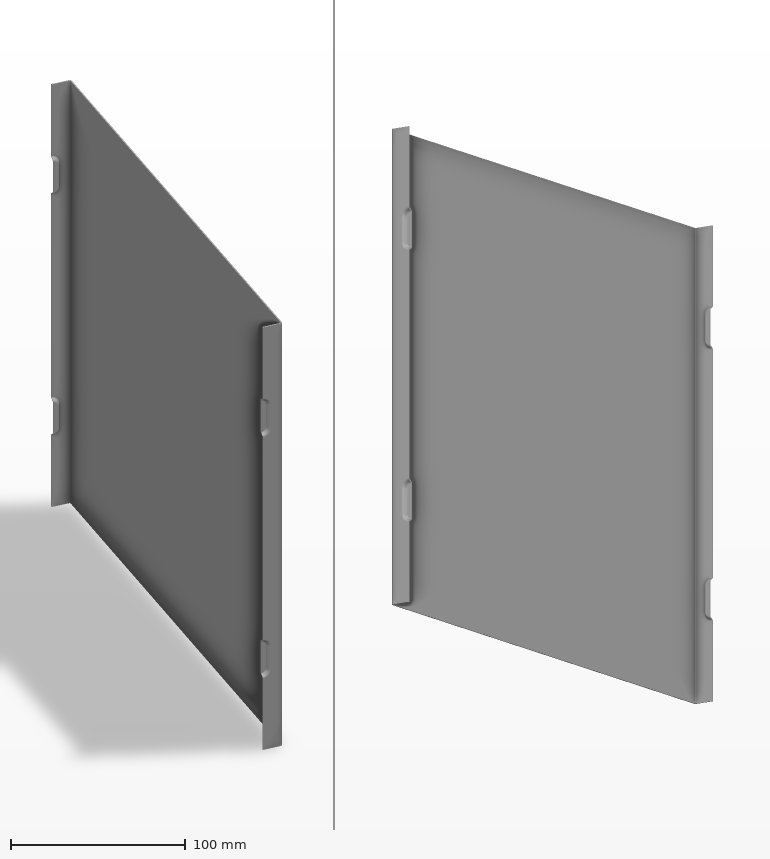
import cadquery as cq
import math

WIDTH = 302.8
DEPTH = 12.5
HEIGHT = 280.0

SHEET = 0.8
BEND_INNER = SHEET
BEND_OUTER = BEND_INNER + SHEET

DIMPLE_LENGTH = 25.7
DIMPLE_REACH = 5.0
DIMPLE_OFFSET = 2.5
DIMPLE_BEND_INNER = 0.5
DIMPLE_BEND_OUTER = DIMPLE_BEND_INNER + SHEET
DIMPLE_WALL_ANGLE = math.radians(60)
DIMPLE_STRAIGHT = DIMPLE_LENGTH - 2 * DIMPLE_REACH
DIMPLE_SPACING = 160.0

EDGE = -DEPTH / 2
OUTER_FACE = -WIDTH / 2


def make_tray():
    """Back panel with a flange bent forward along each side, as a channel along Z."""
    outer = (
        cq.Workplane("XY")
        .box(WIDTH, DEPTH, HEIGHT)
        .edges("|Z and >Y")
        .fillet(BEND_OUTER)
    )
    inner = (
        cq.Workplane("XY")
        .box(WIDTH - 2 * SHEET, DEPTH, HEIGHT)
        .edges("|Z and >Y")
        .fillet(BEND_INNER)
        .translate((0, -SHEET, 0))
    )
    return outer.cut(inner)


def dimple_section():
    """Cross-section of the left flange through a dimple: an S-bend, then a flat lip at the free edge."""
    angle = DIMPLE_WALL_ANGLE
    radius_sum = DIMPLE_BEND_OUTER + DIMPLE_BEND_INNER
    wall_length = (DIMPLE_OFFSET - radius_sum * (1 - math.cos(angle))) / math.sin(angle)
    ramp = radius_sum * math.sin(angle) + wall_length * math.cos(angle)

    start_y = EDGE + DIMPLE_REACH
    lip_y = start_y - ramp
    lip_outer = OUTER_FACE + DIMPLE_OFFSET
    lip_inner = lip_outer + SHEET

    first_center = OUTER_FACE + DIMPLE_BEND_OUTER
    second_center = lip_outer - DIMPLE_BEND_INNER

    def on_first(radius, turn):
        return (first_center - radius * math.cos(turn), start_y - radius * math.sin(turn))

    def on_second(radius, turn):
        return (second_center + radius * math.cos(turn), lip_y + radius * math.sin(turn))

    half = angle / 2
    return (
        cq.Workplane("XY")
        .moveTo(OUTER_FACE, start_y)
        .threePointArc(on_first(DIMPLE_BEND_OUTER, half), on_first(DIMPLE_BEND_OUTER, angle))
        .lineTo(*on_second(DIMPLE_BEND_INNER, angle))
        .threePointArc(on_second(DIMPLE_BEND_INNER, half), (lip_outer, lip_y))
        .lineTo(lip_outer, EDGE)
        .lineTo(lip_inner, EDGE)
        .lineTo(lip_inner, lip_y)
        .threePointArc(on_second(DIMPLE_BEND_OUTER, half), on_second(DIMPLE_BEND_OUTER, angle))
        .lineTo(*on_first(DIMPLE_BEND_INNER, angle))
        .threePointArc(on_first(DIMPLE_BEND_INNER, half), (OUTER_FACE + SHEET, start_y))
        .close()
    )


def make_left_dimple():
    """Dimple centred on Z = 0: straight middle with a quarter turn at each end."""
    middle = dimple_section().extrude(DIMPLE_STRAIGHT / 2, both=True)
    axis_start = (OUTER_FACE, EDGE)
    axis_end = (OUTER_FACE + 3, EDGE)
    quarter_turn = dimple_section().revolve(90, axis_start, axis_end)
    upper_end = quarter_turn.translate((0, 0, DIMPLE_STRAIGHT / 2))
    lower_end = upper_end.mirror("XY")
    return middle.union(upper_end).union(lower_end)


def make_left_opening():
    """Slot-shaped cutter that clears the flat flange where a dimple sits."""
    return (
        cq.Workplane("YZ", origin=(OUTER_FACE, EDGE, 0))
        .slot2D(DIMPLE_LENGTH, 2 * DIMPLE_REACH, 90)
        .extrude(SHEET)
    )


result = make_tray()
left_dimple = make_left_dimple()
left_opening = make_left_opening()
for z in (-DIMPLE_SPACING / 2, DIMPLE_SPACING / 2):
    opening = left_opening.translate((0, 0, z))
    dimple = left_dimple.translate((0, 0, z))
    result = result.cut(opening).cut(opening.mirror("YZ"))
    result = result.union(dimple).union(dimple.mirror("YZ"))